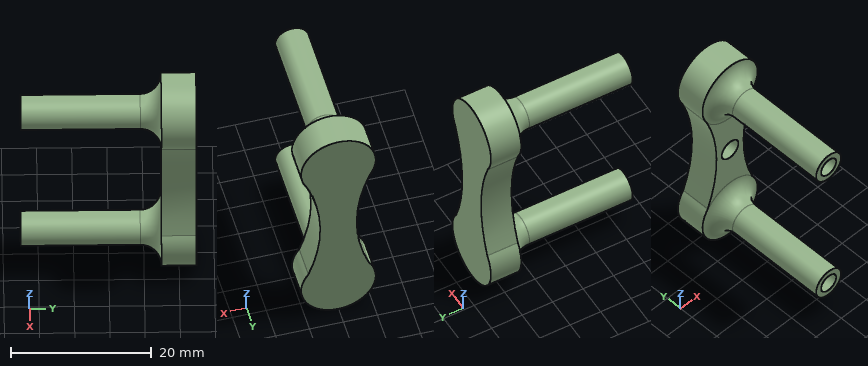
import cadquery as cq
import math

length = 36.0
end_diameter = 11.0
depth = 25.0
plate_thickness = 5.0

post_diameter = plate_thickness
post_hole_diameter = 3.0
post_hole_depth = 10.0

waist_width = 5.4
upper_neck_height = 9.58
lower_neck_height = 9.25

center_hole_diameter = 3.3
center_hole_depth = 2.5

end_radius = end_diameter / 2
post_radius = post_diameter / 2
post_offset = (length - end_diameter) / 2
flare_radius = end_radius - post_radius
post_heights = (post_offset, -post_offset)
post_tip = plate_thickness - depth


def end_half_width(height):
    """Half-width of a round end at this height above or below the middle of the plate."""
    return math.sqrt(end_radius**2 - (post_offset - height) ** 2)


def front_plane(y):
    """Plane facing -Y, with local x along X and local y along Z."""
    return cq.Workplane(cq.Plane(origin=(0, y, 0), xDir=(1, 0, 0), normal=(0, -1, 0)))


def make_plate():
    """Two round ends joined by a web with concave arc sides; front face at y = 0."""
    ends = (
        front_plane(plate_thickness)
        .pushPoints([(0, z) for z in post_heights])
        .circle(end_radius)
        .extrude(plate_thickness)
    )
    upper_x = end_half_width(upper_neck_height)
    lower_x = end_half_width(lower_neck_height)
    web = (
        front_plane(plate_thickness)
        .moveTo(-upper_x, upper_neck_height)
        .lineTo(upper_x, upper_neck_height)
        .threePointArc((waist_width / 2, 0), (lower_x, -lower_neck_height))
        .lineTo(-lower_x, -lower_neck_height)
        .threePointArc((-waist_width / 2, 0), (-upper_x, upper_neck_height))
        .close()
        .extrude(plate_thickness)
    )
    return ends.union(web)


def make_post(z):
    """Round post revolved about its axis, flaring out to the full round end at the plate."""
    flare_middle = flare_radius * math.sqrt(0.5)
    profile = (
        cq.Workplane("XY")
        .moveTo(0, plate_thickness)
        .lineTo(end_radius, plate_thickness)
        .lineTo(end_radius, 0)
        .threePointArc((end_radius - flare_middle, flare_middle - flare_radius), (post_radius, -flare_radius))
        .lineTo(post_radius, post_tip)
        .lineTo(0, post_tip)
        .close()
    )
    return profile.revolve(360, (0, 0, 0), (0, 1, 0)).translate((0, 0, z))


def drill(part, face_y, z, diameter, hole_depth):
    """Blind flat-bottomed hole drilled from the -Y side."""
    tool = front_plane(face_y).center(0, z).circle(diameter / 2).extrude(-hole_depth)
    return part.cut(tool)


result = make_plate()
for post_z in post_heights:
    result = result.union(make_post(post_z))
    result = drill(result, post_tip, post_z, post_hole_diameter, post_hole_depth)
result = drill(result, 0, 0, center_hole_diameter, center_hole_depth)